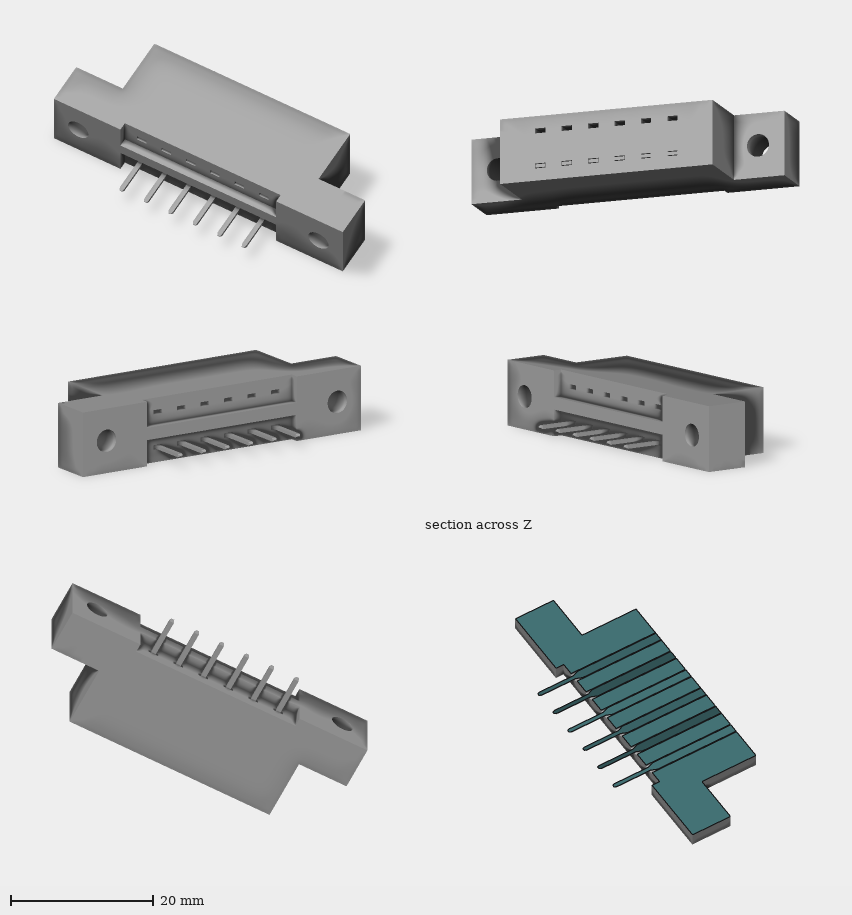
import cadquery as cq

flange_width = 46.8
flange_depth = 6.35
block_width = 31.72
housing_depth = 15.35
housing_height = 9.4

hole_spacing = 38.9
hole_diameter = 3.28

recess_width = 25.2
recess_depth = 1.25
rib_height = 1.8
recess_height = (housing_height - rib_height) / 2

contact_count = 6
contact_span = 19.8
contact_pitch = contact_span / (contact_count - 1)
slot_width = 1.55
slot_height = 0.7
slot_row_spacing = 5.1
slot_offset = slot_row_spacing / 2

contact_thickness = 0.45
side_clearance = 0.05
shank_width = slot_width - 2 * side_clearance
shoulder_setback = 0.1
shoulder_length = 0.95
tail_width = 0.7
tail_length = 4.7
tip_length = 0.37
tip_width = 0.4
tip_thickness = 0.1

contact_xs = [-contact_span / 2 + i * contact_pitch for i in range(contact_count)]

tip_front = -tail_length
tail_front = tip_front + tip_length
tail_back = recess_depth + shoulder_setback
shank_front = tail_back + shoulder_length


def front_box(width, depth, height, x=0, z=0):
    """Box centred on (x, z), reaching back from the front face."""
    return cq.Workplane("XY").box(width, depth, height, centered=(True, False, True)).translate((x, 0, z))


def make_housing():
    flange = front_box(flange_width, flange_depth, housing_height)
    body = flange.union(front_box(block_width, housing_depth, housing_height))

    holes = (
        cq.Workplane("XZ")
        .pushPoints([(-hole_spacing / 2, 0), (hole_spacing / 2, 0)])
        .circle(hole_diameter / 2)
        .extrude(-flange_depth)
    )
    body = body.cut(holes)

    recess_offset = (rib_height + recess_height) / 2
    for side in (-1, 1):
        body = body.cut(front_box(recess_width, recess_depth, recess_height, z=side * recess_offset))
        for x in contact_xs:
            body = body.cut(front_box(slot_width, housing_depth, slot_height, x=x, z=side * slot_offset))
    return body


def make_tip():
    """Pyramid-shaped point that widens back to the full section of the tail."""
    return (
        cq.Workplane("XZ", origin=(0, tip_front, 0))
        .rect(tip_width, tip_thickness)
        .workplane(offset=-tip_length)
        .rect(tail_width, contact_thickness)
        .loft(ruled=True)
    )


def make_contact(x):
    right_edge = [
        (tail_width / 2, tail_front),
        (tail_width / 2, tail_back),
        (shank_width / 2, shank_front),
        (shank_width / 2, housing_depth),
    ]
    left_edge = [(-edge_x, edge_y) for edge_x, edge_y in reversed(right_edge)]
    strip = (
        cq.Workplane("XY")
        .polyline(right_edge + left_edge)
        .close()
        .extrude(contact_thickness / 2, both=True)
    )
    return strip.union(make_tip()).translate((x, 0, -slot_offset))


housing = make_housing()
contacts = [make_contact(x) for x in contact_xs]

result = cq.Compound.makeCompound([housing.val(), *[contact.val() for contact in contacts]])